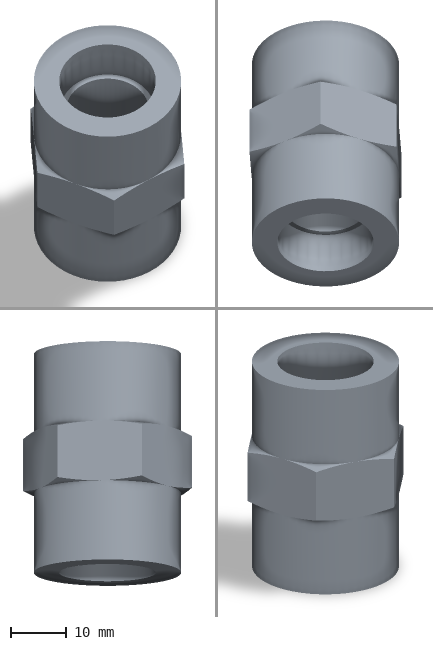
import cadquery as cq
import math

length = 39.7
body_diameter = 26.35

hex_height = 10.9
hex_corner_diameter = body_diameter / math.cos(math.radians(30))
hex_chamfer_angle = 20.0

bore_diameter = 14.9
socket_mouth_diameter = 17.27
socket_floor_diameter = 16.88
socket_depth = 8.0


def make_hex_collar():
    """Hexagon with corners on the Y axis, its end corners turned to a cone."""
    body_radius = body_diameter / 2
    corner_radius = hex_corner_diameter / 2
    half_height = hex_height / 2
    chamfer_drop = (corner_radius - body_radius) * math.tan(math.radians(hex_chamfer_angle))
    prism = (
        cq.Workplane("XY")
        .polygon(6, hex_corner_diameter)
        .extrude(half_height, both=True)
        .rotate((0, 0, 0), (0, 0, 1), 90)
    )
    turned_envelope = (
        cq.Workplane("XZ")
        .moveTo(0, -half_height)
        .lineTo(body_radius, -half_height)
        .lineTo(corner_radius, -half_height + chamfer_drop)
        .lineTo(corner_radius, half_height - chamfer_drop)
        .lineTo(body_radius, half_height)
        .lineTo(0, half_height)
        .close()
        .revolve(360, (0, 0, 0), (0, 1, 0))
    )
    return prism.intersect(turned_envelope)


def make_passage():
    """Through bore and both end sockets as one turned solid."""
    half_length = length / 2
    socket_floor_z = half_length - socket_depth
    bore_radius = bore_diameter / 2
    mouth_radius = socket_mouth_diameter / 2
    floor_radius = socket_floor_diameter / 2
    return (
        cq.Workplane("XZ")
        .moveTo(0, -half_length)
        .lineTo(mouth_radius, -half_length)
        .lineTo(floor_radius, -socket_floor_z)
        .lineTo(bore_radius, -socket_floor_z)
        .lineTo(bore_radius, socket_floor_z)
        .lineTo(floor_radius, socket_floor_z)
        .lineTo(mouth_radius, half_length)
        .lineTo(0, half_length)
        .close()
        .revolve(360, (0, 0, 0), (0, 1, 0))
    )


body = cq.Workplane("XY").circle(body_diameter / 2).extrude(length / 2, both=True)
result = body.union(make_hex_collar()).cut(make_passage())